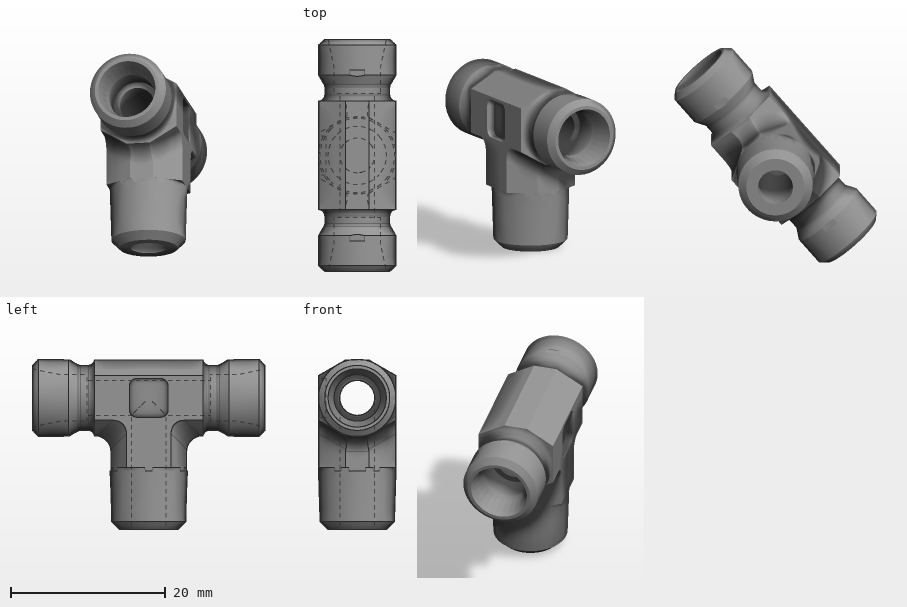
import cadquery as cq
import math

run_length = 30.0
collar_diameter = 10.0
stem_end_z = -17.0

across_flats = collar_diameter
truncated_corner_width = 3.0
bar_face_slope = 30.0
body_length = 14.0
stem_shoulder_z = -9.0
stem_flats_end_z = -9.45
blend_radius = 2.0

neck_diameter = 8.4
end_chamfer_length = 0.75
collar_end_depth = 4.62
collar_slope_angle = 30.0
neck_fillet_radius = 0.7
collar_flat_depth = 3.95

thread_diameter = 10.05
thread_taper = 1 / 16
thread_chamfer_z = -16.0
thread_end_diameter = 7.53

bore_diameter = 4.5
seat_diameter = 6.0
mouth_diameter = 7.53
cone_half_angle = 12.0
seat_depth = 7.0

recess_size = 5.0
recess_depth = 1.0
recess_corner_radius = 1.0

half_run = run_length / 2
half_body = body_length / 2
half_flats = across_flats / 2
half_corner = truncated_corner_width / 2
collar_radius = collar_diameter / 2
neck_radius = neck_diameter / 2

slope_cos = math.cos(math.radians(bar_face_slope))
slope_sin = math.sin(math.radians(bar_face_slope))
side_height = (half_flats - half_flats * slope_sin) / slope_cos
corner_height = (half_flats - half_corner * slope_sin) / slope_cos


def bar_outline(plane):
    """Truncated hexagon with its flats at +X and -X."""
    return cq.Workplane(plane).polyline([
        (half_flats, -side_height),
        (half_flats, side_height),
        (half_corner, corner_height),
        (-half_corner, corner_height),
        (-half_flats, side_height),
        (-half_flats, -side_height),
        (-half_corner, -corner_height),
        (half_corner, -corner_height),
    ]).close()


def make_blended_tee(left_height, right_height):
    """Overlong tee of four-sided bars, with its two concave edges rounded.

    The heights are those of the bar's sloping or level face at -X and +X.
    """
    outline = [
        (-half_flats, -left_height),
        (-half_flats, left_height),
        (half_flats, right_height),
        (half_flats, -right_height),
    ]
    run_bar = cq.Workplane("XZ").polyline(outline).close().extrude(half_run, both=True)
    stem_bar = cq.Workplane("XY").polyline(outline).close().extrude(stem_end_z)
    mean_height = (left_height + right_height) / 2
    tee = run_bar.union(stem_bar)
    for side in (1, -1):
        concave_edge = cq.selectors.NearestToPointSelector((0, side * mean_height, -mean_height))
        tee = tee.edges(concave_edge).fillet(blend_radius)
    return tee


def make_body():
    """Common part of three tees, one for each bar face, so that their blends meet in mitres."""
    far_height = side_height + 2 * half_flats * slope_sin / slope_cos
    body = make_blended_tee(corner_height, corner_height)
    body = body.intersect(make_blended_tee(far_height, side_height))
    body = body.intersect(make_blended_tee(side_height, far_height))
    limits = (
        cq.Workplane("XY")
        .workplane(offset=stem_shoulder_z)
        .rect(across_flats, body_length)
        .extrude(corner_height - stem_shoulder_z)
    )
    return body.intersect(limits)


def make_run_end():
    """Flare, neck and collar at the +Y end, turned about the Y axis."""
    flare_radius = collar_radius - neck_radius
    flare_y = half_body + flare_radius
    flare_mid = flare_radius * (1 - math.sqrt(0.5))
    collar_y = half_run - collar_end_depth
    slope = math.radians(collar_slope_angle)
    slope_foot_y = collar_y - (collar_radius - neck_radius) / math.tan(slope)

    foot_tangent = neck_fillet_radius * math.tan(slope / 2)
    foot_start_y = slope_foot_y - foot_tangent
    foot_mid = (
        neck_radius + neck_fillet_radius * (1 - math.cos(slope / 2)),
        foot_start_y + neck_fillet_radius * math.sin(slope / 2),
    )
    foot_end = (
        neck_radius + foot_tangent * math.sin(slope),
        slope_foot_y + foot_tangent * math.cos(slope),
    )
    return (
        cq.Workplane("XY")
        .moveTo(0, 0)
        .lineTo(collar_radius, 0)
        .lineTo(collar_radius, half_body)
        .threePointArc((neck_radius + flare_mid, half_body + flare_mid), (neck_radius, flare_y))
        .lineTo(neck_radius, foot_start_y)
        .threePointArc(foot_mid, foot_end)
        .lineTo(collar_radius, collar_y)
        .lineTo(collar_radius, half_run - end_chamfer_length)
        .lineTo(neck_radius, half_run)
        .lineTo(0, half_run)
        .close()
        .revolve(360, (0, 0, 0), (0, 1, 0))
    )


def trim_run(run_end):
    """Level the turned end with the truncated corners, as far as the collar flats."""
    flat_end_y = half_run - collar_flat_depth
    trimmed_height = collar_radius - corner_height
    for side in (1, -1):
        trim = cq.Workplane("XY").box(
            collar_diameter, flat_end_y, trimmed_height, centered=(True, False, True)
        )
        run_end = run_end.cut(trim.translate((0, 0, side * (corner_height + trimmed_height / 2))))
    return run_end


def make_thread():
    """Tapered stem end; the bar flats still cut into its top."""
    thread_radius = thread_diameter / 2
    chamfer_radius = thread_radius - (stem_shoulder_z - thread_chamfer_z) * thread_taper / 2
    thread = (
        cq.Workplane("XZ")
        .polyline([
            (0, stem_shoulder_z),
            (thread_radius, stem_shoulder_z),
            (chamfer_radius, thread_chamfer_z),
            (thread_end_diameter / 2, stem_end_z),
            (0, stem_end_z),
        ])
        .close()
        .revolve(360, (0, 0, 0), (0, 1, 0))
    )
    flats_length = stem_shoulder_z - stem_flats_end_z
    flats_zone = (
        cq.Workplane("XY")
        .workplane(offset=stem_flats_end_z)
        .circle(thread_diameter)
        .extrude(flats_length)
    )
    bar = bar_outline("XY").extrude(stem_end_z)
    return thread.cut(flats_zone.cut(bar))


def make_tube_socket():
    """Cone and tube seat at the +Y end."""
    mouth_radius = mouth_diameter / 2
    seat_radius = seat_diameter / 2
    cone_length = (mouth_radius - seat_radius) / math.tan(math.radians(cone_half_angle))
    return (
        cq.Workplane("XY")
        .polyline([
            (0, half_run),
            (mouth_radius, half_run),
            (seat_radius, half_run - cone_length),
            (seat_radius, half_run - seat_depth),
            (0, half_run - seat_depth),
        ])
        .close()
        .revolve(360, (0, 0, 0), (0, 1, 0))
    )


def make_recess():
    return (
        cq.Workplane("YZ")
        .workplane(offset=-half_flats)
        .rect(recess_size, recess_size)
        .extrude(recess_depth)
        .edges("|X")
        .fillet(recess_corner_radius)
    )


run_end = trim_run(make_run_end())
tube_socket = make_tube_socket()
run_bore = cq.Workplane("XZ").circle(bore_diameter / 2).extrude(half_run, both=True)
stem_bore = cq.Workplane("XY").circle(bore_diameter / 2).extrude(stem_end_z)

result = make_body().union(make_thread())
result = result.union(run_end).union(run_end.mirror("XZ"))
result = result.cut(tube_socket).cut(tube_socket.mirror("XZ"))
result = result.cut(run_bore).cut(stem_bore).cut(make_recess())